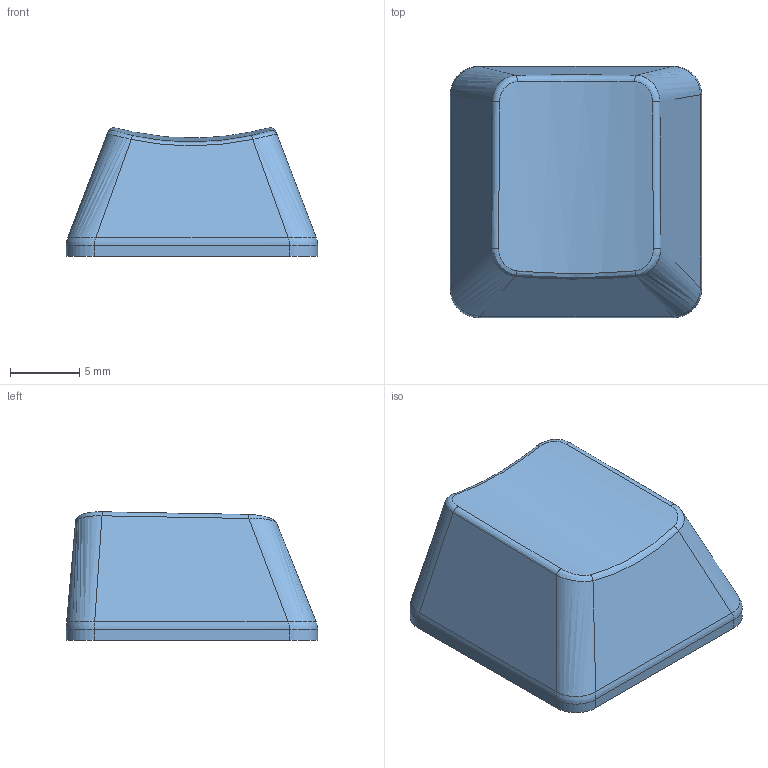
import cadquery as cq
import math

base_size = 18.16
base_corner_radius = 2.03
skirt_height = 0.75

blend_height = 0.57
blend_steps = 2

side_lean = 20.8
front_lean = 21.8
rear_lean = 5.1
blank_height = 10.0
top_corner_radius = 1.85

dish_radius = 20.5
dish_bottom = 8.37
dish_tilt = 1.15
dish_length = 2 * base_size
rim_radius = 0.45

blend_top = skirt_height + blend_height


def inset_factor(z):
    """Inset of a wall at height z, per unit of wall slope.

    It grows as a parabola through the blend and then along the tangent line, so the walls start smooth.
    """
    if z < blend_top:
        return (z - skirt_height) ** 2 / (2 * blend_height)
    return z - skirt_height - blend_height / 2


def section(z, start):
    """Rounded rectangle of the body at height z, placed relative to a workplane at height start."""
    factor = inset_factor(z)
    side = factor * math.tan(math.radians(side_lean))
    front = factor * math.tan(math.radians(front_lean))
    rear = factor * math.tan(math.radians(rear_lean))
    taper = factor / inset_factor(blank_height)
    corner_radius = base_corner_radius + taper * (top_corner_radius - base_corner_radius)
    outline = cq.Sketch().rect(base_size - 2 * side, base_size - front - rear).vertices().fillet(corner_radius)
    return outline.moved(cq.Location(cq.Vector(0, (front - rear) / 2, z - start)))


def make_skirt():
    """Straight-sided foot with rounded corners."""
    foot = cq.Workplane("XY").rect(base_size, base_size).extrude(skirt_height)
    return foot.edges("|Z").fillet(base_corner_radius)


def make_blend():
    """Short curved band between the skirt and the leaning walls."""
    heights = [skirt_height + blend_height * step / blend_steps for step in range(blend_steps + 1)]
    sections = [section(z, skirt_height) for z in heights]
    return cq.Workplane("XY").workplane(offset=skirt_height).placeSketch(*sections).loft()


def make_tapered_body():
    """Flat leaning walls with rounded corners, up to the top of the blank."""
    sections = [section(z, blend_top) for z in (blend_top, blank_height)]
    return cq.Workplane("XY").workplane(offset=blend_top).placeSketch(*sections).loft(ruled=True)


def make_dish_cutter():
    """Long cylinder whose lowest line crosses the Z axis at dish_bottom."""
    roller = cq.Workplane("XZ").circle(dish_radius).extrude(dish_length / 2, both=True)
    roller = roller.rotate((0, 0, 0), (1, 0, 0), dish_tilt)
    axis_height = dish_bottom + dish_radius / math.cos(math.radians(dish_tilt))
    return roller.translate((0, 0, axis_height))


def round_rim(body):
    """Round the edge all around the dished face."""
    dish_face = body.faces(cq.selectors.NearestToPointSelector((0, 0, dish_bottom)))
    return dish_face.edges().fillet(rim_radius)


blank = make_skirt().union(make_blend()).union(make_tapered_body())
result = round_rim(blank.cut(make_dish_cutter()))